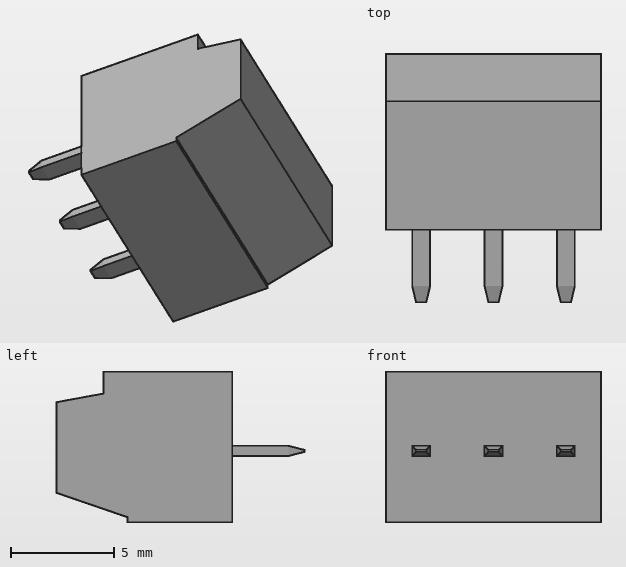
import cadquery as cq

width = 10.41
depth = 8.51
height = 7.29

top_step_length = 2.28
ledge_inner_z = height - 1.05
ledge_back_z = height - 1.47

underside_length = 3.44
underside_inner_z = 0.25
underside_back_z = 1.43

pin_count = 3
pin_pitch = 3.5
pin_length = 3.5
pin_width = 0.88
pin_thickness = 0.5
pin_z = 3.46
tip_length = 0.78
tip_width = 0.5
tip_thickness = 0.1


def make_housing():
    """Side profile in the YZ plane, extruded symmetrically across the width."""
    profile = [
        (0, 0),
        (depth - underside_length, 0),
        (depth - underside_length, underside_inner_z),
        (depth, underside_back_z),
        (depth, ledge_back_z),
        (depth - top_step_length, ledge_inner_z),
        (depth - top_step_length, height),
        (0, height),
    ]
    return cq.Workplane("YZ").polyline(profile).close().extrude(width / 2, both=True)


def make_pin(x):
    """Rectangular pin pointing along -Y with a tapered tip."""
    shank_length = pin_length - tip_length
    base = cq.Workplane("XZ").center(x, pin_z)
    shank = base.rect(pin_width, pin_thickness).extrude(shank_length)
    tip = (
        base.workplane(offset=shank_length)
        .rect(pin_width, pin_thickness)
        .workplane(offset=tip_length)
        .rect(tip_width, tip_thickness)
        .loft(ruled=True)
    )
    return shank.union(tip)


result = make_housing()
for index in range(pin_count):
    pin_x = (index - (pin_count - 1) / 2) * pin_pitch
    result = result.union(make_pin(pin_x))